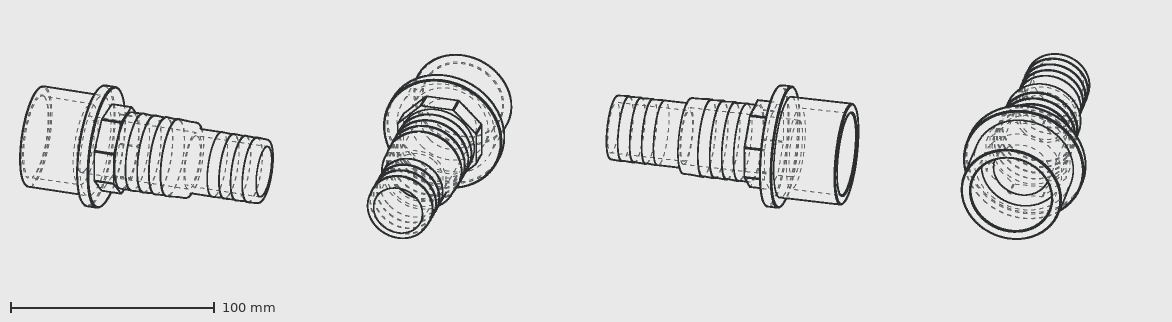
import cadquery as cq
import math


total_length = 118.0
flange_start = 31.0
flange_width = 6.0
octagon_width = 10.0
barrel_plain_length = 5.7
barb_pitch = 6.0
barb_count = 4
barrel_land_length = 3.3

socket_diameter = 50.0
socket_root_diameter = 49.9
flange_diameter = 60.2
octagon_across_flats = 40.1
octagon_corner_diameter = 43.2
barrel_diameter = 38.1
barrel_crest_diameter = 38.6
barrel_end_diameter = 37.6
hose_diameter = 32.1
hose_crest_diameter = 32.3
hose_root_diameter = 31.6

socket_bore_diameter = 40.1
socket_mouth_diameter = 40.6
socket_bore_chamfer = 0.5
socket_depth = 26.0
barrel_bore_diameter = 28.1
hose_bore_diameter = 25.0

edge_chamfer = 0.5
shoulder_round = 1.0
neck_fillet_length = 2.1
tip_round = 1.1

flange_end = flange_start + flange_width
octagon_end = flange_end + octagon_width
barrel_barbs_start = octagon_end + barrel_plain_length
barrel_barbs_end = barrel_barbs_start + barb_count * barb_pitch
shoulder_round_start = barrel_barbs_end + barrel_land_length
shoulder_end = shoulder_round_start + shoulder_round
neck_end = total_length - barb_count * barb_pitch


def cylinder(start, end, diameter):
    return cq.Workplane("YZ", origin=(start, 0, 0)).circle(diameter / 2).extrude(end - start)


def cone(start, end, start_diameter, end_diameter):
    outline = [(start, 0), (start, start_diameter / 2), (end, end_diameter / 2), (end, 0)]
    return cq.Workplane("XZ").polyline(outline).close().revolve(360, (0, 0, 0), (1, 0, 0))


def make_socket_and_flange():
    socket = cone(0, flange_start, socket_diameter, socket_root_diameter).faces("<X").chamfer(edge_chamfer)
    flange = cylinder(flange_start, flange_end, flange_diameter).edges().chamfer(edge_chamfer)
    return socket.union(flange)


def make_octagon():
    corner_to_corner = octagon_across_flats / math.cos(math.pi / 8)
    octagon = (
        cq.Workplane("YZ", origin=(flange_end, 0, 0))
        .transformed(rotate=(0, 0, 22.5))
        .polygon(8, corner_to_corner)
        .extrude(octagon_width)
    )
    return octagon.intersect(cylinder(flange_end, octagon_end, octagon_corner_diameter))


def make_hose_tails():
    """Barrel and hose tail in one profile: saw-tooth barbs with a filleted shoulder between them."""
    barrel_end_radius = barrel_end_diameter / 2
    hose_radius = hose_diameter / 2

    shoulder_radius = barrel_end_radius - shoulder_round
    round_middle = (
        shoulder_round_start + shoulder_round * math.sin(math.pi / 4),
        shoulder_radius + shoulder_round * math.cos(math.pi / 4),
    )

    fillet_height = shoulder_radius - hose_radius
    fillet_radius = (neck_fillet_length**2 + fillet_height**2) / (2 * fillet_height)
    fillet_half_angle = math.asin(neck_fillet_length / fillet_radius) / 2
    fillet_end = shoulder_end + neck_fillet_length
    fillet_middle = (
        fillet_end - fillet_radius * math.sin(fillet_half_angle),
        hose_radius + fillet_radius * (1 - math.cos(fillet_half_angle)),
    )

    profile = (
        cq.Workplane("XZ")
        .moveTo(octagon_end, 0)
        .lineTo(octagon_end, barrel_diameter / 2)
        .lineTo(barrel_barbs_start, barrel_diameter / 2)
    )
    for barb in range(barb_count):
        crest_x = barrel_barbs_start + barb * barb_pitch
        profile = profile.lineTo(crest_x, barrel_crest_diameter / 2)
        profile = profile.lineTo(crest_x + barb_pitch, barrel_end_radius)

    profile = (
        profile.lineTo(shoulder_round_start, barrel_end_radius)
        .threePointArc(round_middle, (shoulder_end, shoulder_radius))
        .threePointArc(fillet_middle, (fillet_end, hose_radius))
        .lineTo(neck_end, hose_radius)
    )
    for barb in range(barb_count):
        crest_x = neck_end + barb * barb_pitch
        profile = profile.lineTo(crest_x, hose_crest_diameter / 2)
        profile = profile.lineTo(crest_x + barb_pitch, hose_root_diameter / 2)

    profile = profile.lineTo(total_length, 0).close()
    tails = profile.revolve(360, (0, 0, 0), (1, 0, 0))
    return tails.faces(">X").edges().fillet(tip_round)


def make_bores():
    socket_bore = cone(0, socket_depth, socket_mouth_diameter, socket_bore_diameter)
    mouth_chamfer = cone(
        0,
        socket_bore_chamfer,
        socket_mouth_diameter + 2 * socket_bore_chamfer,
        socket_mouth_diameter,
    )
    barrel_bore = cylinder(0, shoulder_end, barrel_bore_diameter)
    hose_bore = cylinder(0, total_length, hose_bore_diameter)
    return socket_bore.union(mouth_chamfer).union(barrel_bore).union(hose_bore)


body = make_socket_and_flange().union(make_octagon()).union(make_hose_tails())
result = body.cut(make_bores())